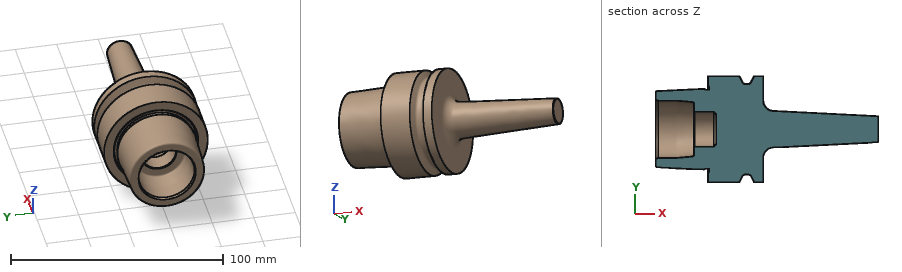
import cadquery as cq
import math


total_length = 104.9
taper_end = 22.8
neck_start = 23.5
flange_start = 24.7
flange_end = 50.8

shank_mouth_radius = 18.0
shank_root_radius = 19.1
shank_lip_round = 0.9
neck_radius = 18.7

recess_radius = 20.5
recess_depth = 0.5

flange_radius = 50.0 / 2
groove_center = 42.9
groove_mouth_width = 6.8
groove_floor_radius = 21.4
groove_flank_angle = 27.0
groove_floor_round = 1.0

nose_tip_radius = 6.2
nose_half_angle = 2.9
nose_tip_chamfer = 0.3
nose_root_round = 4.7

bore_radius = 13.4
bore_straight_depth = 10.0
bore_depth = 18.0
bore_floor_edge_radius = 12.7
bore_floor_round = 0.8
bore_mouth_chamfer = 0.4
bore_mouth_chamfer_length = 1.3
pocket_radius = 8.2
pocket_depth = 10.5
pocket_mouth_chamfer = 0.3
pocket_floor_chamfer = 1.3


def turned(profile):
    """Revolve a closed (X, radius) profile about the X axis."""
    return profile.close().revolve(360, (0, 0, 0), (1, 0, 0))


def cylinder(start, length, radius):
    """Solid cylinder along +X."""
    return cq.Workplane("YZ").workplane(offset=start).circle(radius).extrude(length)


def make_body():
    """Shank, neck recess, flange and tapered nose in one turned outline."""
    angle = math.radians(nose_half_angle)
    arc_center_x = flange_end + nose_root_round
    blend_end = arc_center_x - nose_root_round * math.sin(angle)
    blend_radius = nose_tip_radius + (total_length - blend_end) * math.tan(angle)
    arc_center_radius = blend_radius + nose_root_round * math.cos(angle)
    mid_angle = (math.pi / 2 - angle) / 2
    arc_middle = (
        arc_center_x - nose_root_round * math.cos(mid_angle),
        arc_center_radius - nose_root_round * math.sin(mid_angle),
    )
    chamfer_start = total_length - nose_tip_chamfer
    profile = (
        cq.Workplane("XY")
        .lineTo(0, shank_mouth_radius - shank_lip_round)
        .radiusArc((shank_lip_round, shank_mouth_radius), shank_lip_round)
        .lineTo(taper_end, shank_root_radius)
        .lineTo(neck_start, neck_radius)
        .lineTo(flange_start + recess_depth, neck_radius)
        .lineTo(flange_start + recess_depth, recess_radius - recess_depth)
        .lineTo(flange_start, recess_radius)
        .lineTo(flange_start, flange_radius)
        .lineTo(flange_end, flange_radius)
        .lineTo(flange_end, arc_center_radius)
        .threePointArc(arc_middle, (blend_end, blend_radius))
        .lineTo(chamfer_start, nose_tip_radius + nose_tip_chamfer * math.tan(angle))
        .lineTo(total_length, nose_tip_radius - nose_tip_chamfer)
        .lineTo(total_length, 0)
    )
    return turned(profile)


def make_groove():
    """Ring-shaped cutter for the V-groove, with rounded floor corners."""
    depth = flange_radius - groove_floor_radius
    mouth_half = groove_mouth_width / 2
    floor_half = mouth_half - depth * math.tan(math.radians(groove_flank_angle))
    ring = turned(
        cq.Workplane("XY")
        .moveTo(groove_center - mouth_half, flange_radius)
        .lineTo(groove_center - floor_half, groove_floor_radius)
        .lineTo(groove_center + floor_half, groove_floor_radius)
        .lineTo(groove_center + mouth_half, flange_radius)
    )
    floor_edges = cq.selectors.RadiusNthSelector(0)
    return ring.edges(floor_edges).fillet(groove_floor_round)


def make_bore():
    """Cutter for the bore, straight then narrowing, and the pocket in its floor."""
    bore = turned(
        cq.Workplane("XY")
        .lineTo(0, bore_radius)
        .lineTo(bore_straight_depth, bore_radius)
        .lineTo(bore_depth, bore_floor_edge_radius)
        .lineTo(bore_depth, 0)
    )
    bore = bore.faces(">X").edges().fillet(bore_floor_round)
    pocket = cylinder(bore_depth, pocket_depth, pocket_radius)
    pocket = pocket.faces(">X").edges().chamfer(pocket_floor_chamfer)
    return bore.union(pocket)


def chamfer_cutter(start, radius, size, length):
    """Cone that breaks the edge of a hole opening toward -X."""
    return turned(
        cq.Workplane("XY")
        .moveTo(start, 0)
        .lineTo(start, radius + size)
        .lineTo(start + length, radius)
        .lineTo(start + length, 0)
    )


result = (
    make_body()
    .cut(make_groove())
    .cut(make_bore())
    .cut(chamfer_cutter(0, bore_radius, bore_mouth_chamfer, bore_mouth_chamfer_length))
    .cut(chamfer_cutter(bore_depth, pocket_radius, pocket_mouth_chamfer, pocket_mouth_chamfer))
)